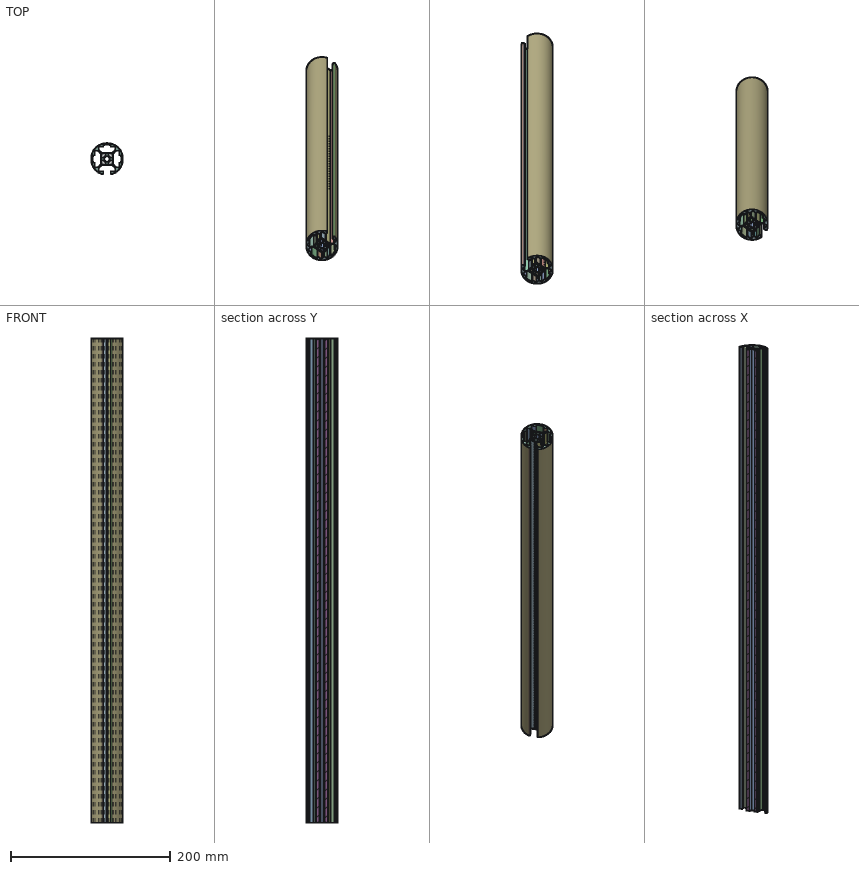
import cadquery as cq
import math

length = 609.5
outer_diameter = 40.0
outer_radius = outer_diameter / 2

web_thickness = 2.25
neck_half_width = 4.7
cavity_half_width = 10.5
lip_distance = 15.0
core_half_width = 8.0
floor_chamfer = 3.35
mouth_radius = 1.0

groove_half_width = 0.9
groove_depth = 0.9

bore_diameter = 7.0
hub_diameter = 9.0
core_wall = 1.5
spoke_width = 3.5

closed_channel_angles = (90, 180, 270)


def prism(sketch):
    """Extrude a closed outline over the full length."""
    return sketch.extrude(length)


def box(x_size, y_size, y_start):
    """Full-length bar centred on X that runs from y_start to y_start + y_size."""
    return prism(cq.Workplane("XY").center(0, y_start + y_size / 2).rect(x_size, y_size))


def around_axis(body, angle):
    return body.rotate((0, 0, 0), (0, 0, 1), angle)


def channel_cavity():
    """Wide part of a channel on the -Y side, with its floor chamfers and floor groove."""
    floor_half_width = cavity_half_width - floor_chamfer
    right_side = [
        (groove_half_width, -core_half_width),
        (floor_half_width, -core_half_width),
        (cavity_half_width, -core_half_width - floor_chamfer),
        (cavity_half_width, -lip_distance),
    ]
    left_side = [(-x, y) for x, y in reversed(right_side)]
    groove_bottom = (0, groove_depth - core_half_width)
    return prism(cq.Workplane("XY").polyline([groove_bottom] + right_side + left_side).close())


def neck():
    """Narrow part of a channel on the -Y side, from the core out to the rim of the tube."""
    reach = outer_radius - core_half_width
    return box(2 * neck_half_width, reach, -outer_radius)


def closed_channel():
    web_inner_circle = prism(cq.Workplane("XY").circle(outer_radius - web_thickness))
    return channel_cavity().union(neck().intersect(web_inner_circle))


def core_pockets():
    """Four corner pockets between the hub, the spokes and the core walls."""
    inner_size = 2 * (core_half_width - core_wall)
    pockets = prism(cq.Workplane("XY").rect(inner_size, inner_size))
    pockets = pockets.cut(prism(cq.Workplane("XY").circle(hub_diameter / 2)))
    spoke = box(spoke_width, inner_size, -inner_size / 2)
    return pockets.cut(spoke).cut(around_axis(spoke, 90))


profile = prism(cq.Workplane("XY").circle(outer_radius))
profile = profile.cut(channel_cavity()).cut(neck())
for angle in closed_channel_angles:
    profile = profile.cut(around_axis(closed_channel(), angle))

mouth_y = -math.sqrt(outer_radius**2 - neck_half_width**2)
for side in (-1, 1):
    mouth_edge = cq.NearestToPointSelector((side * neck_half_width, mouth_y, length / 2))
    profile = profile.edges("|Z").edges(mouth_edge).fillet(mouth_radius)

bore = prism(cq.Workplane("XY").circle(bore_diameter / 2))
result = profile.cut(bore).cut(core_pockets())